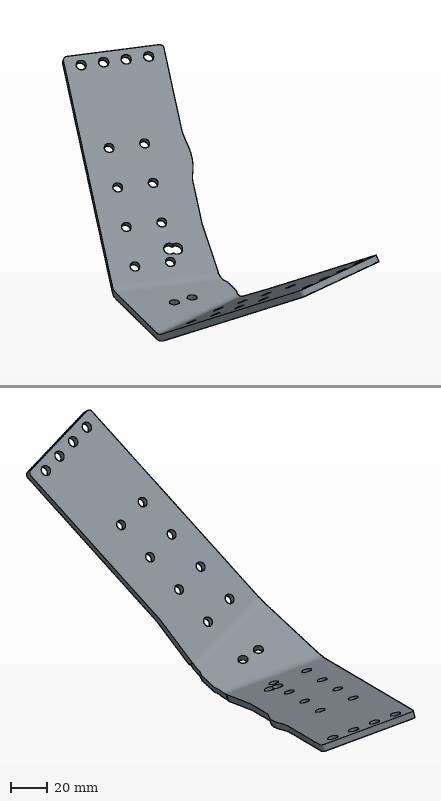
import cadquery as cq
import math

thickness = 4.0
bend_radius = 10.0
bend_angle = 34.9
sweep_angle = 14.1
bend_offset = 22.5

base_depth = 58.5
crown_depth = 59.5
crown_half_width = 5.0
base_hole_places = (23.7, 34.7)

arm_length = 139.0
arm_front = -6.5
arm_back = 50.3
corner_radius = 2.3
root_back = 53.5
root_middle = (13.5, 52.0)
root_length = 29.6

bump_start = 55.5
bump_flank = (62.0, 51.7)
bump_peak = (74.8, 52.2)
bump_end = 87.5

hole_diameter = 5.5
end_hole_diameter = 5.6
end_hole_position = 132.7
end_hole_first = 2.68
end_hole_pitch = 12.7
end_hole_count = 4
grid_start = 9.5
grid_pitch = 24.0
grid_columns = 4
grid_rows = (8.2, 28.2)
double_hole_diameter = 6.5
double_hole_centers = ((17.5, 29.5), (17.0, 33.3))

bend_sin = math.sin(math.radians(bend_angle))
bend_cos = math.cos(math.radians(bend_angle))
half_sin = math.sin(math.radians(bend_angle / 2))
half_cos = math.cos(math.radians(bend_angle / 2))
sweep_sin = math.sin(math.radians(sweep_angle))
sweep_cos = math.cos(math.radians(sweep_angle))
bend_center_z = thickness + bend_radius
outer_radius = bend_radius + thickness


def bend_point(radius, sine, cosine):
    """Point of the bend section at a given radius and direction."""
    return (bend_offset + radius * sine, bend_center_z - radius * cosine)


def make_bend():
    """Bent strip, trimmed in plan to the front and back of the base."""
    strip_length = root_back + base_depth
    strip = (
        cq.Workplane("XZ", origin=(0, arm_front, 0))
        .moveTo(bend_offset, 0)
        .threePointArc(bend_point(outer_radius, half_sin, half_cos),
                       bend_point(outer_radius, bend_sin, bend_cos))
        .lineTo(*bend_point(bend_radius, bend_sin, bend_cos))
        .threePointArc(bend_point(bend_radius, half_sin, half_cos), (bend_offset, thickness))
        .close()
        .extrude(-strip_length)
        .rotate((0, 0, 0), (0, 0, 1), sweep_angle)
    )
    trim = cq.Workplane("XY").rect(arm_length, base_depth).extrude(bend_center_z)
    return strip.intersect(trim.translate((0, base_depth / 2, 0)))


def arm_workplane():
    """Plane of the upper arm face: X along the arm, Y across it."""
    start, height = bend_point(bend_radius, bend_sin, bend_cos)
    plane = cq.Plane(origin=(start, 0, height), xDir=(bend_cos, 0, bend_sin),
                     normal=(-bend_sin, 0, bend_cos))
    return cq.Workplane(plane)


def drill(arm, centers, diameter):
    """Drill holes straight through the sheet of an arm."""
    holes = arm_workplane().pushPoints(centers).circle(diameter / 2).extrude(-thickness)
    return arm.cut(holes)


def make_arm(has_bump):
    """Right-hand arm, with the bump and double hole if asked for."""
    outline = (
        arm_workplane()
        .moveTo(0, arm_front)
        .lineTo(arm_length, arm_front)
        .lineTo(arm_length, arm_back)
    )
    if has_bump:
        outline = (
            outline.lineTo(bump_end, arm_back)
            .spline([bump_peak, bump_flank, (bump_start, arm_back)],
                    tangents=[(-1, 0), (-1, 0)], includeCurrent=True)
        )
    arm = (
        outline.lineTo(root_length, arm_back)
        .threePointArc(root_middle, (0, root_back))
        .close()
        .extrude(-thickness)
    )
    sheet_normal = cq.Vector(-bend_sin, 0, bend_cos)
    end_corners = arm.faces(">X").edges(cq.selectors.ParallelDirSelector(sheet_normal))
    arm = end_corners.fillet(corner_radius)

    end_holes = [(end_hole_position, end_hole_first + i * end_hole_pitch)
                 for i in range(end_hole_count)]
    grid_holes = [(grid_start + i * grid_pitch, row)
                  for i in range(grid_columns) for row in grid_rows]
    arm = drill(arm, end_holes, end_hole_diameter)
    arm = drill(arm, grid_holes, hole_diameter)
    if has_bump:
        for center in double_hole_centers:
            arm = drill(arm, [center], double_hole_diameter)
    return arm.rotate((0, 0, 0), (0, 0, 1), sweep_angle)


def make_base():
    """Flat trapezoid between the two bends, with two holes on its centre line."""
    front_half = bend_offset / sweep_cos
    back_half = (bend_offset - base_depth * sweep_sin) / sweep_cos
    plate = (
        cq.Workplane("XY")
        .polyline([(-front_half, 0), (front_half, 0), (back_half, base_depth),
                   (crown_half_width, crown_depth), (-crown_half_width, crown_depth),
                   (-back_half, base_depth)])
        .close()
        .extrude(thickness)
    )
    holes = (
        cq.Workplane("XY")
        .pushPoints([(0, y) for y in base_hole_places])
        .circle(hole_diameter / 2)
        .extrude(thickness)
    )
    return plate.cut(holes)


bend = make_bend()
right_side = bend.union(make_arm(has_bump=False))
left_side = bend.union(make_arm(has_bump=True)).mirror("YZ")
result = make_base().union(right_side).union(left_side)